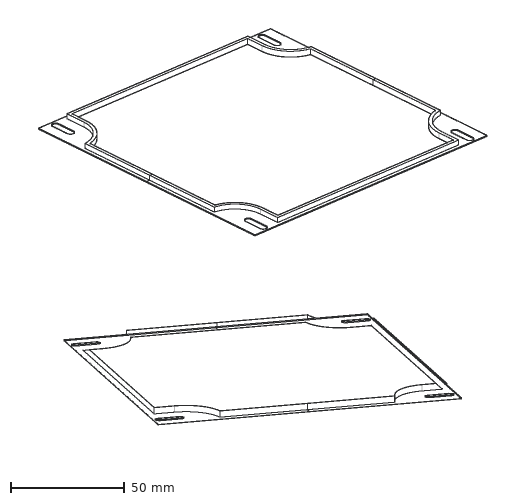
import cadquery as cq
import math

SIDE = 140.0
HEIGHT = 3.0
PLATE_THICKNESS = 0.5

RIM_SETBACK = 1.8
RIM_THICKNESS = 1.7

PAD_ARC_FROM_SIDE = 12.9
PAD_RADIUS = 15.4

SLOT_LENGTH = 13.2
SLOT_WIDTH = 3.6
SLOT_FROM_EDGE = 7.7

HALF_SIDE = SIDE / 2


def half_region(setback, radius, height):
    """Solid on the -X half, set back from the plate edges and notched around both corner pads."""
    side_x = -HALF_SIDE + setback
    edge_y = HALF_SIDE - setback
    arc_x = -HALF_SIDE + PAD_ARC_FROM_SIDE
    pad_y = HALF_SIDE - radius

    end_x = arc_x + math.sqrt(radius**2 - setback**2)
    mid_angle = (math.asin(setback / radius) + math.pi / 2) / 2
    mid_x = arc_x + radius * math.cos(mid_angle)
    mid_y = HALF_SIDE - radius * math.sin(mid_angle)

    return (
        cq.Workplane("XY")
        .moveTo(0, edge_y)
        .lineTo(end_x, edge_y)
        .threePointArc((mid_x, mid_y), (arc_x, pad_y))
        .lineTo(side_x, pad_y)
        .lineTo(side_x, -pad_y)
        .lineTo(arc_x, -pad_y)
        .threePointArc((mid_x, -mid_y), (end_x, -edge_y))
        .lineTo(0, -edge_y)
        .close()
        .extrude(height)
    )


def mounting_slots():
    """Cutters for the two slots of the -X half."""
    slot_x = -HALF_SIDE + SLOT_FROM_EDGE
    slot_y = HALF_SIDE - SLOT_FROM_EDGE
    return (
        cq.Workplane("XY")
        .pushPoints([(slot_x, slot_y), (slot_x, -slot_y)])
        .slot2D(SLOT_LENGTH, SLOT_WIDTH)
        .extrude(PLATE_THICKNESS)
    )


def make_left_half():
    """Half frame: thin slotted plate and rim, around one open window."""
    opening = half_region(RIM_SETBACK + RIM_THICKNESS, PAD_RADIUS + RIM_THICKNESS, HEIGHT)
    plate = cq.Workplane("XY").box(HALF_SIDE, SIDE, PLATE_THICKNESS, centered=(False, True, False))
    plate = plate.translate((-HALF_SIDE, 0, 0)).cut(mounting_slots())
    rim = half_region(RIM_SETBACK, PAD_RADIUS, HEIGHT)
    return plate.union(rim).cut(opening)


frame_halves = []
for turn in (0, 180):
    frame_half = make_left_half().rotate((0, 0, 0), (0, 0, 1), turn)
    frame_halves.append(frame_half.val())

result = cq.Compound.makeCompound(frame_halves)